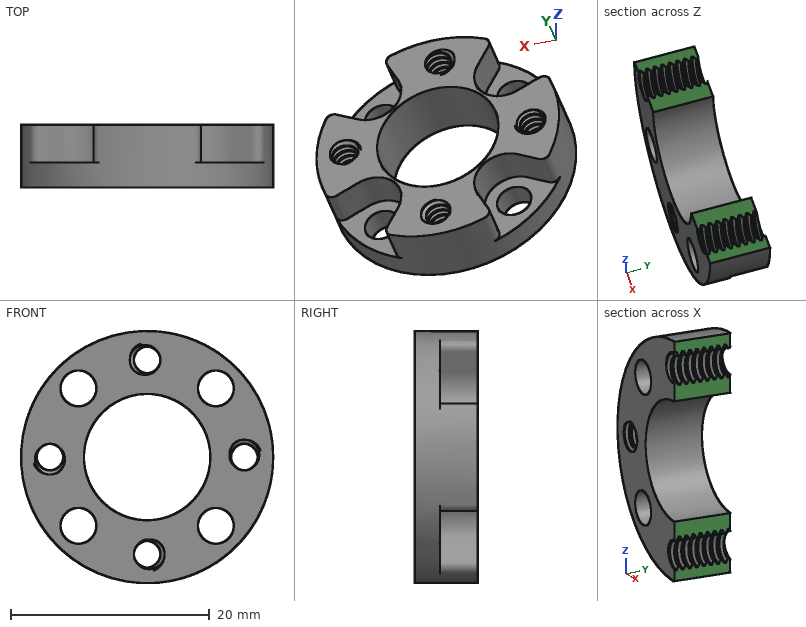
import math
import cadquery as cq

INCH = 25.4

outer_radius = 0.5 * INCH
bore_radius = 0.25 * INCH
thickness = 0.25 * INCH
flange_thickness = 0.1 * INCH

hole_count = 4
hole_spacing = 360 / hole_count
bolt_circle_radius = 0.385 * INCH
clearance_diameter = 3.58

pocket_radius = 3.1
pocket_wall_taper = math.radians(18)
lug_fillet_radius = 0.032 * INCH
pocket_overshoot = 1.0

thread_flank_angle = math.radians(30)
thread_pitch = INCH / 32
thread_major_radius = 0.138 * INCH / 2
thread_root_width = thread_pitch / 8
thread_mouth_width = thread_pitch * 3 / 4
thread_depth = (thread_mouth_width - thread_root_width) / 2 / math.tan(thread_flank_angle)
thread_minor_radius = thread_major_radius - thread_depth
thread_cut_length = thickness + 2 * thread_pitch
thread_overlap = 0.08


def spin(shape, angle):
    """Turn a shape about the ring axis (Y)."""
    return shape.rotate((0, 0, 0), (0, 1, 0), angle)


def make_ring():
    return cq.Workplane("XZ").circle(outer_radius).circle(bore_radius).extrude(-thickness)


def make_pocket():
    """Pocket cutter centred on +X: round floor, flared walls and rounded mouth."""
    along_x = math.cos(pocket_wall_taper)
    along_z = math.sin(pocket_wall_taper)
    floor_x = bolt_circle_radius - pocket_radius * along_z
    floor_z = pocket_radius * along_x

    centre_reach = outer_radius - lug_fillet_radius
    wall_offset = pocket_radius + lug_fillet_radius
    centre_angle = pocket_wall_taper + math.asin(
        (wall_offset - bolt_circle_radius * along_z) / centre_reach
    )
    centre_x = centre_reach * math.cos(centre_angle)
    centre_z = centre_reach * math.sin(centre_angle)

    wall_x = centre_x + lug_fillet_radius * along_z
    wall_z = centre_z - lug_fillet_radius * along_x
    middle_angle = (pocket_wall_taper - math.pi / 2 + centre_angle) / 2
    middle_x = centre_x + lug_fillet_radius * math.cos(middle_angle)
    middle_z = centre_z + lug_fillet_radius * math.sin(middle_angle)
    rim_x = outer_radius * math.cos(centre_angle)
    rim_z = outer_radius * math.sin(centre_angle)
    outside_x = outer_radius + pocket_overshoot

    return (
        cq.Workplane("XZ", origin=(0, flange_thickness, 0))
        .moveTo(floor_x, floor_z)
        .threePointArc((bolt_circle_radius - pocket_radius, 0), (floor_x, -floor_z))
        .lineTo(wall_x, -wall_z)
        .threePointArc((middle_x, -middle_z), (rim_x, -rim_z))
        .lineTo(outside_x, -rim_z)
        .lineTo(outside_x, rim_z)
        .lineTo(rim_x, rim_z)
        .threePointArc((middle_x, middle_z), (wall_x, wall_z))
        .close()
        .extrude(flange_thickness - thickness)
    )


def make_clearance_hole():
    return (
        cq.Workplane("XZ")
        .center(bolt_circle_radius, 0)
        .circle(clearance_diameter / 2)
        .extrude(-thickness)
    )


def make_thread_groove():
    """Right-hand helical groove about Y, running past both faces of the ring."""
    inner_radius = thread_minor_radius - thread_overlap
    flank_rise = (thread_depth + thread_overlap) * math.tan(thread_flank_angle)
    root_half = thread_root_width / 2
    mouth_half = root_half + flank_rise
    helix = cq.Wire.makeHelix(thread_pitch, thread_cut_length, thread_minor_radius)
    groove = (
        cq.Workplane("XZ")
        .moveTo(inner_radius, -mouth_half)
        .lineTo(thread_major_radius, -root_half)
        .lineTo(thread_major_radius, root_half)
        .lineTo(inner_radius, mouth_half)
        .close()
        .sweep(cq.Workplane(helix), isFrenet=True)
    )
    return groove.rotate((0, 0, 0), (1, 0, 0), -90).translate((0, -thread_pitch, 0))


def make_threaded_hole():
    """Cutter for the threaded hole on -Z: drilled core joined with its groove."""
    core = (
        cq.Workplane("XZ", origin=(0, -thread_pitch, 0))
        .circle(thread_minor_radius)
        .extrude(-thread_cut_length)
    )
    return core.union(make_thread_groove()).translate((0, 0, -bolt_circle_radius))


pocket = make_pocket()
clearance_hole = make_clearance_hole()
threaded_hole = make_threaded_hole()

result = make_ring()
for index in range(hole_count):
    turn = index * hole_spacing
    diagonal = turn + hole_spacing / 2
    result = result.cut(spin(pocket, diagonal))
    result = result.cut(spin(clearance_hole, diagonal))
    result = result.cut(spin(threaded_hole, turn))